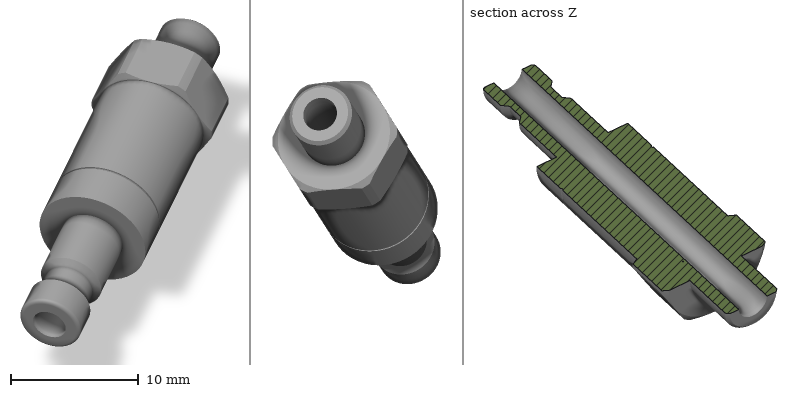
import cadquery as cq
import math

LENGTH = 33.0
LIP_END = 2.5
NECK_END = 5.0
BODY_START = 10.0
GROOVE_START = 13.25
GROOVE_WIDTH = 0.2
HEX_START = 23.5
HEX_END = 28.0

STEM_DIAMETER = 5.0
NECK_DIAMETER = 4.0
BODY_DIAMETER = 8.8
GROOVE_DEPTH = 0.1
BORE_DIAMETER = 2.7
HEX_ACROSS_FLATS = 9.0
HEX_CORNER_DIAMETER = 10.0

TIP_FILLET = 0.3
TAIL_CHAMFER = 0.25
HEX_CHAMFER_ANGLE = 30.0

stem_radius = STEM_DIAMETER / 2
neck_radius = NECK_DIAMETER / 2
body_radius = BODY_DIAMETER / 2


def turned(profile):
    """Revolve a closed (radius, station) profile around the Y axis."""
    return profile.close().revolve(360, (0, 0, 0), (0, 1, 0))


def rod(diameter, start, end):
    """Solid cylinder on the Y axis between two stations."""
    return turned(cq.Workplane("XY").moveTo(0, start).lineTo(diameter / 2, start)
                  .lineTo(diameter / 2, end).lineTo(0, end))


def plug():
    """Front stem with a rounded tip and a 45-degree sided retaining neck."""
    slope = stem_radius - neck_radius
    arc_offset = TIP_FILLET * math.sqrt(0.5)
    arc_middle = (stem_radius - TIP_FILLET + arc_offset, TIP_FILLET - arc_offset)
    return turned(
        cq.Workplane("XY")
        .lineTo(stem_radius - TIP_FILLET, 0)
        .threePointArc(arc_middle, (stem_radius, TIP_FILLET))
        .lineTo(stem_radius, LIP_END)
        .lineTo(neck_radius, LIP_END + slope)
        .lineTo(neck_radius, NECK_END - slope)
        .lineTo(stem_radius, NECK_END)
        .lineTo(stem_radius, BODY_START)
        .lineTo(0, BODY_START)
    )


def body():
    """Main barrel with a fine groove at its joint."""
    groove_end = GROOVE_START + GROOVE_WIDTH
    return (
        rod(BODY_DIAMETER, BODY_START, GROOVE_START)
        .union(rod(BODY_DIAMETER - 2 * GROOVE_DEPTH, GROOVE_START, groove_end))
        .union(rod(BODY_DIAMETER, groove_end, HEX_START))
    )


def hexagon():
    """Hexagon with corners at +X and -X, turned round and chamfered at both ends."""
    across_corners = HEX_ACROSS_FLATS / math.cos(math.radians(30))
    prism = (
        cq.Workplane("XZ", origin=(0, HEX_END, 0))
        .polygon(6, across_corners)
        .extrude(HEX_END - HEX_START)
    )
    corner_radius = HEX_CORNER_DIAMETER / 2
    face_radius = HEX_ACROSS_FLATS / 2
    chamfer_axial = (corner_radius - face_radius) * math.tan(math.radians(HEX_CHAMFER_ANGLE))
    envelope = turned(
        cq.Workplane("XY")
        .moveTo(0, HEX_START)
        .lineTo(face_radius, HEX_START)
        .lineTo(corner_radius, HEX_START + chamfer_axial)
        .lineTo(corner_radius, HEX_END - chamfer_axial)
        .lineTo(face_radius, HEX_END)
        .lineTo(0, HEX_END)
    )
    return prism.intersect(envelope)


def tail():
    """Rear stem with a chamfered end."""
    return turned(
        cq.Workplane("XY")
        .moveTo(0, HEX_END)
        .lineTo(stem_radius, HEX_END)
        .lineTo(stem_radius, LENGTH - TAIL_CHAMFER)
        .lineTo(stem_radius - TAIL_CHAMFER, LENGTH)
        .lineTo(0, LENGTH)
    )


bore = rod(BORE_DIAMETER, 0, LENGTH)
result = plug().union(body()).union(hexagon()).union(tail()).cut(bore)
result = result.translate((0, -LENGTH / 2, 0))